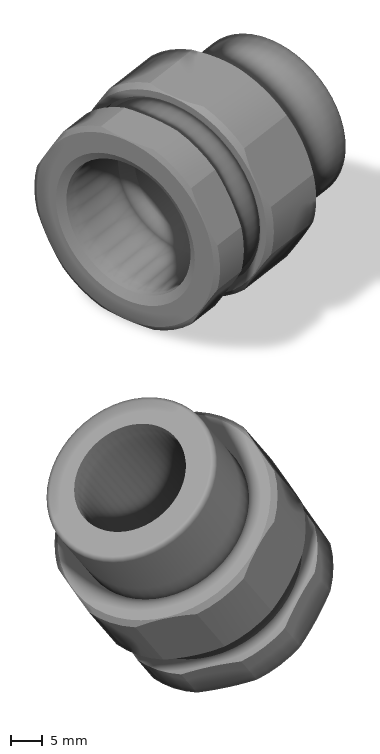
import cadquery as cq
import math

LENGTH = 38.6

SOCKET_FLATS = 34.83
SOCKET_CORNERS = 36.3
SOCKET_FACE_DIAMETER = 34.55
SOCKET_FRONT_CHAMFER = 0.45
SOCKET_HEX_END = 6.68
NECK_START = 7.85
NECK_DIAMETER = 32.12
NECK_END = 18.55

MOUTH_DIAMETER = 27.15
MOUTH_DEPTH = 0.8
BORE_FRONT_DIAMETER = 24.3
BORE_BACK_DIAMETER = 23.63
BORE_END = 13.82
PASSAGE_DIAMETER = 19.05
PASSAGE_START = 15.15

NUT_FLATS = 36.53
NUT_CORNERS = 38.0
NUT_FACE_DIAMETER = 36.3
NUT_START = 12.55
NUT_END = 25.2
NUT_CHAMFER = 0.8
NUT_BORE_DIAMETER = 33.8
NUT_LIP = 2.3

SPIGOT_DIAMETER = 28.95
SPIGOT_ROUND = 0.77
COLLAR_END = NUT_END - NUT_LIP

FLARE_START = 13.7
FLARE_END = FLARE_START + (NUT_BORE_DIAMETER - NECK_DIAMETER) / 2


def turned(profile):
    """Solid of revolution about Y from (diameter, y) points."""
    points = [(diameter / 2, y) for diameter, y in profile]
    return cq.Workplane("XY").polyline(points).close().revolve(360, (0, 0, 0), (0, 1, 0))


def hexagon(flats, start, end):
    """Hexagonal bar along Y with two flats facing +Z and -Z."""
    corner_circle = flats / math.cos(math.pi / 6)
    bar = cq.Workplane("XZ", origin=(0, start, 0)).polygon(6, corner_circle)
    return bar.extrude(start - end)


def make_socket():
    hex_end = turned([
        (0, 0),
        (SOCKET_FACE_DIAMETER, 0),
        (SOCKET_CORNERS, SOCKET_FRONT_CHAMFER),
        (SOCKET_CORNERS, SOCKET_HEX_END),
        (NECK_DIAMETER, NECK_START),
        (0, NECK_START),
    ]).intersect(hexagon(SOCKET_FLATS, 0, NECK_START))
    neck = turned([
        (0, NECK_START),
        (NECK_DIAMETER, NECK_START),
        (NECK_DIAMETER, FLARE_START),
        (NUT_BORE_DIAMETER, FLARE_END),
        (NUT_BORE_DIAMETER, NECK_END),
        (0, NECK_END),
    ])
    bore = turned([
        (0, 0),
        (MOUTH_DIAMETER, 0),
        (BORE_FRONT_DIAMETER, MOUTH_DEPTH),
        (BORE_BACK_DIAMETER, BORE_END),
        (PASSAGE_DIAMETER, PASSAGE_START),
        (PASSAGE_DIAMETER, NECK_END),
        (0, NECK_END),
    ])
    return hex_end.union(neck).cut(bore)


def make_nut():
    body = turned([
        (0, NUT_START),
        (NUT_FACE_DIAMETER, NUT_START),
        (NUT_CORNERS, NUT_START + NUT_CHAMFER),
        (NUT_CORNERS, NUT_END - NUT_CHAMFER),
        (NUT_FACE_DIAMETER, NUT_END),
        (0, NUT_END),
    ]).intersect(hexagon(NUT_FLATS, NUT_START, NUT_END))
    bore = turned([
        (0, NUT_START),
        (NUT_BORE_DIAMETER, NUT_START),
        (NUT_BORE_DIAMETER, COLLAR_END),
        (SPIGOT_DIAMETER, COLLAR_END),
        (SPIGOT_DIAMETER, NUT_END),
        (0, NUT_END),
    ])
    return body.cut(bore)


def make_spigot():
    blank = turned([
        (PASSAGE_DIAMETER, NECK_END),
        (NUT_BORE_DIAMETER, NECK_END),
        (NUT_BORE_DIAMETER, COLLAR_END),
        (SPIGOT_DIAMETER, COLLAR_END),
        (SPIGOT_DIAMETER, LENGTH),
        (PASSAGE_DIAMETER, LENGTH),
    ])
    rim = cq.selectors.RadiusNthSelector(-1)
    return blank.faces(">Y").edges(rim).fillet(SPIGOT_ROUND)


socket = make_socket()
nut = make_nut()
spigot = make_spigot()

result = cq.Compound.makeCompound([socket.val(), nut.val(), spigot.val()])